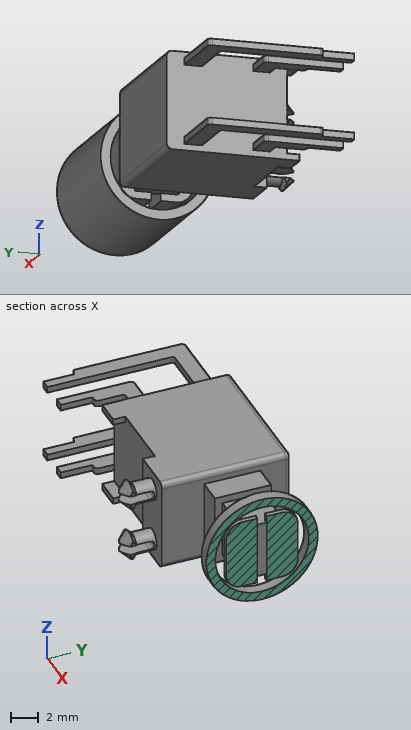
import cadquery as cq


body_left = 5.57
body_right = 16.6
body_back = 4.6
seat_y = -5.55
body_height = 7.4
body_round = 0.4
recess_depth = 0.95
recess_right = 13.07
foot_right = 7.6
foot_thickness = 0.48

collar_end = 18.6
collar_width = 4.42
collar_height = 5.65
stem_width = 3.25
stem_height = 4.52
stem_grip = 0.35

cap_start = 21.28
cap_end = 31.8
cap_diameter = 8.8
cap_chamfer = 0.48
cap_bore_radius = 3.65
cap_bore_depth = 3.18
socket_inset = 0.5
socket_size = 5.65
socket_round = 1.27
socket_slot_width = 0.73

pin_thickness = 0.5
pin_end_y = -8.02
pin_tail_width = 0.75
pin_outside_round = 0.3
pin_inside_round = 0.2
pin_tail_round = 0.1
outer_pin_top = 3.28
outer_pin_bar = 1.35
outer_pin_leg = 1.27
inner_pin_left = 3.0
inner_pin_top = -2.0
inner_pin_bar = 1.25
inner_pin_leg = 1.35
pin_embed = 0.32

peg_x = 14.82
peg_z = 2.2
peg_radius = 0.83
peg_head_radius = 1.1
peg_head_start = -7.1
peg_slot_width = 0.7
peg_slot_floor = 0.15


def box(x_range, y_range, z_range):
    """Axis-aligned block between the given limits."""
    size = [high - low for low, high in (x_range, y_range, z_range)]
    corner = (x_range[0], y_range[0], z_range[0])
    return cq.Workplane("XY").box(*size, centered=False).translate(corner)


def x_bar(x_start, x_end, y_size, z_size):
    """Rectangular bar along the X axis."""
    return cq.Workplane("YZ", origin=(x_start, 0, 0)).rect(y_size, z_size).extrude(x_end - x_start)


def x_cylinder(x_start, x_end, radius):
    """Round bar along the X axis."""
    return cq.Workplane("YZ", origin=(x_start, 0, 0)).circle(radius).extrude(x_end - x_start)


def make_body():
    half = body_height / 2
    body = box((body_left, body_right), (seat_y, body_back), (-half, half))
    body = body.edges("(>Y and (not <X)) or (>X and (not <Y))").fillet(body_round)
    recess_y = (seat_y, seat_y + recess_depth)
    between_feet = half - foot_thickness
    body = body.cut(box((body_left, foot_right), recess_y, (-between_feet, between_feet)))
    return body.cut(box((foot_right, recess_right), recess_y, (-half, half)))


def make_cap():
    """Round cap with a bore; a slotted socket in the bore grips the stem."""
    bore_end = cap_start + cap_bore_depth
    socket_face = cap_start + socket_inset
    cap = x_cylinder(cap_start, cap_end, cap_diameter / 2).faces(">X").chamfer(cap_chamfer)
    cap = cap.cut(x_cylinder(cap_start, bore_end, cap_bore_radius))
    socket = x_bar(socket_face, bore_end, socket_size, socket_size)
    socket = socket.edges("|X").fillet(socket_round)
    socket = socket.cut(x_bar(socket_face, bore_end, socket_slot_width, socket_size))
    stem = x_bar(collar_end, socket_face + stem_grip, stem_width, stem_height)
    return cap.union(socket).union(stem)


def extrude_pin(points, top_corner, inside_corner, shoulder, tail_corner):
    """Flat terminal, centred on Z = 0, with its bend and shoulder corners rounded."""
    corner_rounds = {
        top_corner: pin_outside_round,
        inside_corner: pin_inside_round,
        shoulder: pin_outside_round,
        tail_corner: pin_tail_round,
    }
    pin = cq.Workplane("XY").polyline(points).close().extrude(pin_thickness / 2, both=True)
    for (x, y), radius in corner_rounds.items():
        near_corner = cq.selectors.NearestToPointSelector((x, y, 0))
        pin = pin.edges("|Z").edges(near_corner).fillet(radius)
    return pin


def make_outer_pin():
    root = body_left + pin_embed
    bar_bottom = outer_pin_top - outer_pin_bar
    tail_left = outer_pin_leg - pin_tail_width
    top_corner = (0, outer_pin_top)
    shoulder = (0, seat_y)
    tail_corner = (tail_left, seat_y)
    inside_corner = (outer_pin_leg, bar_bottom)
    points = [
        (root, outer_pin_top),
        top_corner,
        shoulder,
        tail_corner,
        (tail_left, pin_end_y),
        (outer_pin_leg, pin_end_y),
        inside_corner,
        (root, bar_bottom),
    ]
    return extrude_pin(points, top_corner, inside_corner, shoulder, tail_corner)


def make_inner_pin():
    root = body_left + pin_embed
    bar_bottom = inner_pin_top - inner_pin_bar
    leg_right = inner_pin_left + inner_pin_leg
    tail_right = inner_pin_left + pin_tail_width
    top_corner = (inner_pin_left, inner_pin_top)
    inside_corner = (leg_right, bar_bottom)
    shoulder = (leg_right, seat_y)
    tail_corner = (tail_right, seat_y)
    points = [
        (root, inner_pin_top),
        top_corner,
        (inner_pin_left, pin_end_y),
        (tail_right, pin_end_y),
        tail_corner,
        shoulder,
        inside_corner,
        (root, bar_bottom),
    ]
    return extrude_pin(points, top_corner, inside_corner, shoulder, tail_corner)


def make_peg():
    """Split peg with a 45-degree barbed head, flattened to the shank width in X."""
    barb_y = peg_head_start - (peg_head_radius - peg_radius)
    tip_y = barb_y - peg_head_radius
    profile = [
        (0, seat_y),
        (peg_radius, seat_y),
        (peg_radius, peg_head_start),
        (peg_head_radius, barb_y),
        (0, tip_y),
    ]
    peg = cq.Workplane("XY").polyline(profile).close().revolve(360, (0, 0, 0), (0, 1, 0))
    flats = box(
        (-peg_radius, peg_radius),
        (tip_y, seat_y),
        (-peg_head_radius, peg_head_radius),
    )
    peg = peg.intersect(flats)

    half_slot = peg_slot_width / 2
    slot_end = seat_y - peg_slot_floor - half_slot
    reach = (-peg_head_radius, peg_head_radius)
    slot = box(reach, (tip_y, slot_end), (-half_slot, half_slot))
    round_end = cq.Workplane("YZ").center(slot_end, 0).circle(half_slot)
    slot = slot.union(round_end.extrude(peg_head_radius, both=True))
    return peg.cut(slot)


result = make_body()
result = result.union(x_bar(body_right, collar_end, collar_width, collar_height))
result = result.union(make_cap())

outer_pin = make_outer_pin()
inner_pin = make_inner_pin()
peg = make_peg()
pin_z = body_height / 2 - foot_thickness - pin_thickness / 2
for side in (-1, 1):
    result = result.union(outer_pin.translate((0, 0, side * pin_z)))
    result = result.union(inner_pin.translate((0, 0, side * pin_z)))
    result = result.union(peg.translate((peg_x, 0, side * peg_z)))